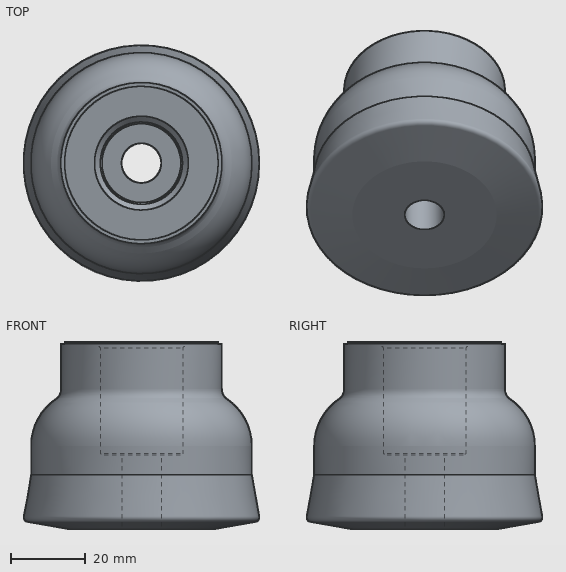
import cadquery as cq
import math

total_height = 50.0
pad_radius = 63 / 2

hub_radius = 59.0 / 2
collar_radius = 43.0 / 2
top_face_radius = 41.0 / 2
top_step_height = 0.5
collar_bottom_z = 37.4
neck_fillet_radius = 3.3
dome_base_z = 22.25
dome_top_z = 33.8
dome_top_radius = 24.1

bore_radius = 22.0 / 2
bore_mouth_radius = 25.1 / 2
bore_floor_radius = 21.05 / 2
bore_floor_z = 19.85
screw_hole_radius = 10.5 / 2

pad_flat_radius = 19.3
rim_round = 1.25
taper = math.radians(10)


def on_circle(center_r, center_z, radius, angle):
    """Point (r, z) on a circle, with the angle measured up from the outward direction."""
    return (center_r + radius * math.cos(angle), center_z + radius * math.sin(angle))


rim_center_r = pad_radius - rim_round
rim_center_z = (rim_center_r - pad_flat_radius) * math.tan(taper) + rim_round / math.cos(taper)
rim_underside_angle = taper - math.pi / 2
rim_top = on_circle(rim_center_r, rim_center_z, rim_round, taper)
rim_middle = (pad_radius, rim_center_z)
rim_bottom = on_circle(rim_center_r, rim_center_z, rim_round, rim_underside_angle)

joint_z = rim_top[1] + (rim_top[0] - hub_radius) / math.tan(taper)


def make_hub():
    neck_center_r = collar_radius + neck_fillet_radius
    neck_middle = on_circle(neck_center_r, collar_bottom_z, neck_fillet_radius, math.radians(202.5))
    neck_end = on_circle(neck_center_r, collar_bottom_z, neck_fillet_radius, math.radians(225))

    dome_rise = dome_top_z - dome_base_z
    dome_inset = hub_radius - dome_top_radius
    dome_radius = (dome_inset**2 + dome_rise**2) / (2 * dome_inset)
    dome_half_angle = math.asin(dome_rise / dome_radius) / 2
    dome_middle = on_circle(hub_radius - dome_radius, dome_base_z, dome_radius, dome_half_angle)

    bore_mouth_depth = bore_mouth_radius - bore_radius
    floor_chamfer = bore_radius - bore_floor_radius
    ledge_z = total_height - top_step_height
    return (
        cq.Workplane("XZ")
        .moveTo(screw_hole_radius, joint_z)
        .lineTo(hub_radius, joint_z)
        .lineTo(hub_radius, dome_base_z)
        .threePointArc(dome_middle, (dome_top_radius, dome_top_z))
        .lineTo(*neck_end)
        .threePointArc(neck_middle, (collar_radius, collar_bottom_z))
        .lineTo(collar_radius, ledge_z)
        .lineTo(top_face_radius, ledge_z)
        .lineTo(top_face_radius, total_height)
        .lineTo(bore_mouth_radius, total_height)
        .lineTo(bore_radius, total_height - bore_mouth_depth)
        .lineTo(bore_radius, bore_floor_z + floor_chamfer)
        .lineTo(bore_floor_radius, bore_floor_z)
        .lineTo(screw_hole_radius, bore_floor_z)
        .close()
        .revolve(360, (0, 0, 0), (0, 1, 0))
    )


def make_pad():
    return (
        cq.Workplane("XZ")
        .moveTo(screw_hole_radius, 0)
        .lineTo(pad_flat_radius, 0)
        .lineTo(*rim_bottom)
        .threePointArc(rim_middle, rim_top)
        .lineTo(hub_radius, joint_z)
        .lineTo(screw_hole_radius, joint_z)
        .close()
        .revolve(360, (0, 0, 0), (0, 1, 0))
    )


hub = make_hub()
pad = make_pad()
result = cq.Compound.makeCompound([hub.val(), pad.val()])